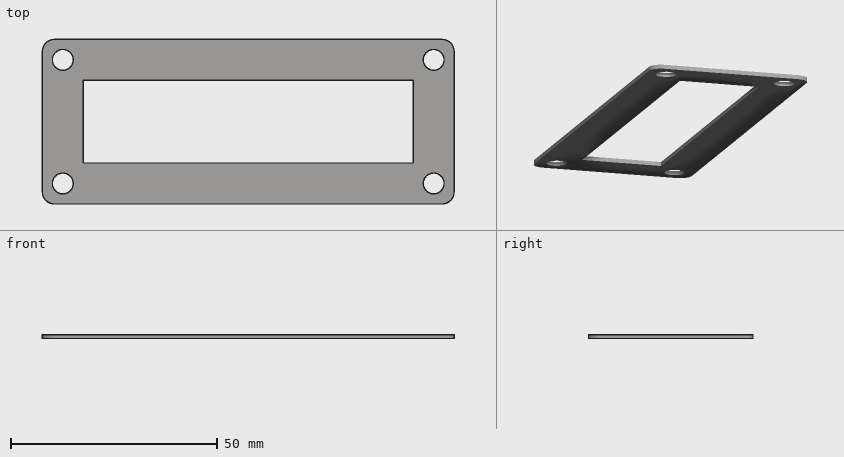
import cadquery as cq

length = 100.0
width = 40.0
thickness = 1.0
corner_radius = 3.0

border = 10.0
window_length = length - 2 * border
window_width = width - 2 * border

hole_diameter = 5.0
hole_inset = 5.0
hole_spacing_x = length - 2 * hole_inset
hole_spacing_y = width - 2 * hole_inset


def make_plate():
    """Flat plate with rounded corners, centred on the Z axis."""
    plate = cq.Workplane("XY").rect(length, width).extrude(thickness)
    return plate.edges("|Z").fillet(corner_radius)


def cut_window(plate):
    """Cut the sharp-cornered window through the middle of the plate."""
    return plate.faces(">Z").workplane().rect(window_length, window_width).cutThruAll()


def drill_mounting_holes(plate):
    """Drill a through hole at each corner of the mounting rectangle."""
    hole_centres = plate.faces(">Z").workplane().rect(
        hole_spacing_x, hole_spacing_y, forConstruction=True
    ).vertices()
    return hole_centres.hole(hole_diameter)


result = drill_mounting_holes(cut_window(make_plate()))